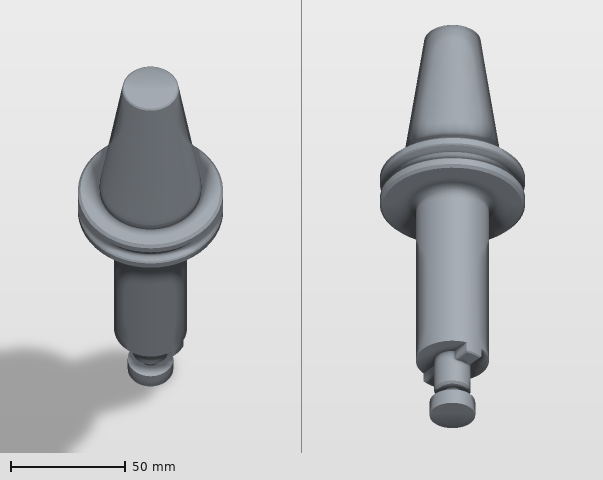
import cadquery as cq

TOTAL_HEIGHT = 197.4
TAPER_LENGTH = 68.5
COLLAR_HEIGHT = 3.2
FLANGE_THICKNESS = 16.0
BODY_BOTTOM = 28.6
PILOT_BOTTOM = 12.0
HEAD_HEIGHT = 7.1

TAPER_TOP_DIAMETER = 24.5
TAPER_BASE_DIAMETER = 44.5
FLANGE_DIAMETER = 63.5
GROOVE_DIAMETER = 56.3
BODY_DIAMETER = 32.0
PILOT_DIAMETER = 16.0
SCREW_DIAMETER = 8.0
HEAD_DIAMETER = 20.0

GROOVE_CENTER_DEPTH = 7.9
GROOVE_FLOOR_WIDTH = 3.8
GROOVE_MOUTH_WIDTH = 6.7

KEY_WIDTH = 8.0
KEY_HEIGHT = 4.7

TAPER_TOP_CHAMFER = 0.5
FLANGE_CHAMFER = 1.2
GROOVE_RIM_CHAMFER = 0.5
NECK_FILLET = 3.0
PILOT_CHAMFER = 1.0
KEY_CHAMFER = 0.5

taper_base = TOTAL_HEIGHT - TAPER_LENGTH
flange_top = taper_base - COLLAR_HEIGHT
flange_bottom = flange_top - FLANGE_THICKNESS


def cylinder(diameter, bottom, top):
    """Solid cylinder on the Z axis between two heights."""
    return cq.Workplane("XY").workplane(offset=bottom).circle(diameter / 2).extrude(top - bottom)


def make_taper():
    """Conical shank with a short cylindrical collar at its base."""
    cone = (
        cq.Workplane("XY")
        .workplane(offset=taper_base)
        .circle(TAPER_BASE_DIAMETER / 2)
        .workplane(offset=TAPER_LENGTH)
        .circle(TAPER_TOP_DIAMETER / 2)
        .loft(ruled=True)
        .faces(">Z")
        .chamfer(TAPER_TOP_CHAMFER)
    )
    return cone.union(cylinder(TAPER_BASE_DIAMETER, flange_top, taper_base))


def make_groove():
    """Ring with a V-shaped section and a flat floor, cut from the flange rim."""
    center = flange_top - GROOVE_CENTER_DEPTH
    half_floor = GROOVE_FLOOR_WIDTH / 2
    half_mouth = GROOVE_MOUTH_WIDTH / 2
    half_rim = half_mouth + GROOVE_RIM_CHAMFER
    floor = GROOVE_DIAMETER / 2
    rim = FLANGE_DIAMETER / 2
    mouth = rim - GROOVE_RIM_CHAMFER
    return (
        cq.Workplane("XZ")
        .moveTo(floor, center - half_floor)
        .lineTo(mouth, center - half_mouth)
        .lineTo(rim, center - half_rim)
        .lineTo(rim, center + half_rim)
        .lineTo(mouth, center + half_mouth)
        .lineTo(floor, center + half_floor)
        .close()
        .revolve(360, (0, 0, 0), (0, 1, 0))
    )


def make_flange_and_body():
    """Grooved flange blended into the cylindrical body below it."""
    flange = cylinder(FLANGE_DIAMETER, flange_bottom, flange_top).edges().chamfer(FLANGE_CHAMFER)
    flange = flange.cut(make_groove())
    body = cylinder(BODY_DIAMETER, BODY_BOTTOM, flange_bottom)
    reach = BODY_DIAMETER / 2 + NECK_FILLET
    neck_region = cq.selectors.BoxSelector(
        (-reach, -reach, flange_bottom - NECK_FILLET),
        (reach, reach, flange_bottom + FLANGE_CHAMFER / 2),
        boundingbox=True,
    )
    return flange.union(body).edges(neck_region).fillet(NECK_FILLET)


def make_keys():
    """Bar across the body end whose ends, outside the pilot, are the two drive keys."""
    bottom = BODY_BOTTOM - KEY_HEIGHT
    bar = cq.Workplane("XY").box(BODY_DIAMETER, KEY_WIDTH, KEY_HEIGHT, centered=(True, True, False))
    bar = bar.translate((0, 0, bottom))
    bar = bar.intersect(cylinder(BODY_DIAMETER, bottom, BODY_BOTTOM))
    return bar.faces("<Z").chamfer(KEY_CHAMFER)


def make_pilot():
    """Cutter pilot with a chamfered lower edge."""
    return cylinder(PILOT_DIAMETER, PILOT_BOTTOM, BODY_BOTTOM).faces("<Z").chamfer(PILOT_CHAMFER)


def make_screw():
    """Clamping screw with a plain round head."""
    shank = cylinder(SCREW_DIAMETER, HEAD_HEIGHT, PILOT_BOTTOM)
    return shank.union(cylinder(HEAD_DIAMETER, 0, HEAD_HEIGHT))


result = (
    make_flange_and_body()
    .union(make_taper())
    .union(make_pilot())
    .union(make_keys())
    .union(make_screw())
)